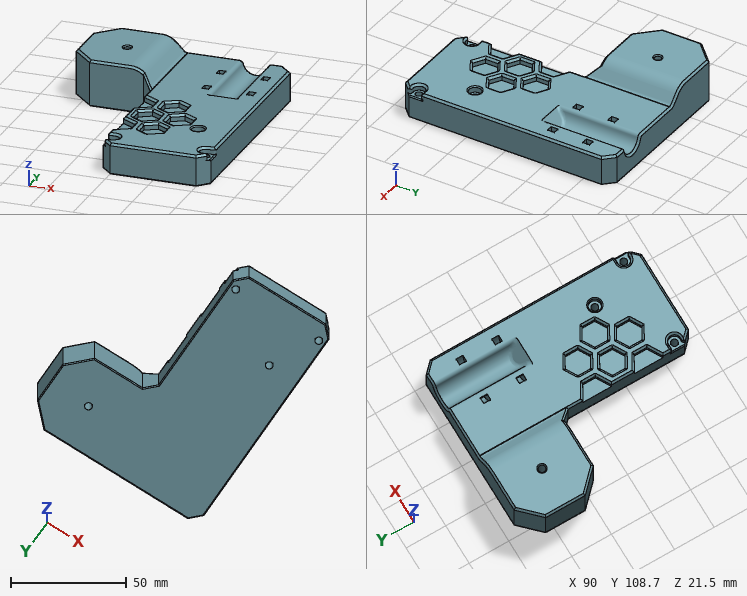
import cadquery as cq
import math

width = 90.0
length = 108.7
arm_height = 21.5
block_height = 14.5
block_left = 40.0
arm_depth = 40.0
arm_front = length - arm_depth
arm_corner = 10.0
block_corner = 5.0

ramp_angle = 45.0
crest_radius = 10.0
foot_radius = 2.0

top_chamfer = 1.0
bottom_chamfer = 0.5
mouth_radius = 1.0
mouth_chamfer = 0.5
hole_chamfer = 0.5

run_out = 2.2

cell_pitch = 15.0
cell_flats = 11.0
cell_depth = 3.0
cell_lean = math.radians(30)
cell_row_step = cell_pitch * math.cos(cell_lean)
comb_x = 49.0
comb_y = 36.0

screw_diameter = 3.4
head_diameter = 6.0
head_depth = 3.0
corner_screw_x = block_left + 3.4
corner_screw_y = block_corner + head_diameter / 2
arm_screw = (20.0, (arm_front + length) / 2)
block_screw = (75.0, 29.5)

trough_x = 72.5
trough_radius = 6.0
trough_end_y = 66.3
trough_round = 2.0
tunnel_inner_radius = 8.8
tunnel_outer_radius = 11.8
tunnel_width = 3.5
tunnel_ys = (74.2, 92.3)


foot_tangent = foot_radius * math.tan(math.radians(ramp_angle / 2))
foot_end_x = block_left + foot_tangent


def ramp_profile():
    """Closed XZ outline of the arm: flat top, rounded crest, ramp and rounded foot."""
    angle = math.radians(ramp_angle)
    half = angle / 2
    crest_end_z = arm_height - crest_radius * (1 - math.cos(angle))
    crest_end_x = block_left - (crest_end_z - block_height) / math.tan(angle)
    crest_start_x = crest_end_x - crest_radius * math.sin(angle)
    crest_mid = (
        crest_start_x + crest_radius * math.sin(half),
        arm_height - crest_radius * (1 - math.cos(half)),
    )
    foot_start = (
        block_left - foot_tangent * math.cos(angle),
        block_height + foot_tangent * math.sin(angle),
    )
    foot_mid = (
        foot_end_x - foot_radius * math.sin(half),
        block_height + foot_radius * (1 - math.cos(half)),
    )
    return (
        cq.Workplane("XZ")
        .lineTo(0, arm_height)
        .lineTo(crest_start_x, arm_height)
        .threePointArc(crest_mid, (crest_end_x, crest_end_z))
        .lineTo(*foot_start)
        .threePointArc(foot_mid, (foot_end_x, block_height))
        .lineTo(foot_end_x, 0)
        .close()
    )


def main_block():
    outline = [
        (block_left, block_corner),
        (block_left + block_corner, 0),
        (width - block_corner, 0),
        (width, block_corner),
        (width, length - block_corner),
        (width - block_corner, length),
        (block_left, length),
    ]
    block = cq.Workplane("XY").polyline(outline).close().extrude(block_height)
    return block.faces(">Z").chamfer(top_chamfer)


def arm():
    """Arm whose front slants back where it meets the block, so that the ramp ends inside the block."""
    outline = [
        (0, arm_front + arm_corner),
        (arm_corner, arm_front),
        (block_left - block_corner, arm_front),
        (foot_end_x, arm_front - block_corner - foot_tangent),
        (foot_end_x, length),
        (arm_corner, length),
        (0, length - arm_corner),
    ]
    prism = cq.Workplane("XY").polyline(outline).close().extrude(arm_height)
    blank = prism.intersect(ramp_profile().extrude(-length))
    upper_rim = blank.faces("#Z and (not >X)").edges("not (|Z or <Z or >X)")
    return upper_rim.chamfer(top_chamfer)


def flared_pocket(outline, depth):
    """Solid that cuts a pocket of the given outline, with a chamfered rim, into the block top."""
    floor = cq.Workplane("XY", origin=(0, 0, block_height - depth))
    rim = cq.Workplane("XY", origin=(0, 0, block_height - top_chamfer))
    shaft = outline(floor).extrude(depth)
    return shaft.union(outline(rim).extrude(top_chamfer, taper=-45))


def closed_cell(x, y):
    corner_radius = cell_flats / 2 / math.cos(cell_lean)
    angles = [cell_lean + side * math.pi / 3 for side in range(6)]
    points = [(x + corner_radius * math.cos(a), y + corner_radius * math.sin(a)) for a in angles]
    return flared_pocket(lambda plane: plane.polyline(points).close(), cell_depth)


def open_cell(x, y):
    """Cell whose two slanting right-hand sides run on until they leave the left wall."""
    slope = math.tan(cell_lean)
    right = x + cell_flats / 2
    left = block_left - run_out
    half_side = cell_flats / 2 * slope
    half_mouth = half_side + (right - left) * slope
    points = [
        (right, y - half_side),
        (right, y + half_side),
        (left, y + half_mouth),
        (left, y - half_mouth),
    ]
    return flared_pocket(lambda plane: plane.polyline(points).close(), cell_depth)


def honeycomb():
    cells = closed_cell(comb_x, comb_y).union(closed_cell(comb_x + cell_pitch, comb_y))
    for row_y in (comb_y - cell_row_step, comb_y + cell_row_step):
        cells = cells.union(closed_cell(comb_x + cell_pitch / 2, row_y))
        cells = cells.union(open_cell(comb_x - cell_pitch / 2, row_y))
    return cells


def slot_outline(plane):
    """Screw-head circle drawn out into a slot through the left wall."""
    radius = head_diameter / 2
    outside = block_left - run_out
    return (
        plane.moveTo(outside, corner_screw_y + radius)
        .lineTo(corner_screw_x, corner_screw_y + radius)
        .threePointArc((corner_screw_x + radius, corner_screw_y), (corner_screw_x, corner_screw_y - radius))
        .lineTo(outside, corner_screw_y - radius)
        .close()
    )


def corner_recess():
    """Left corner screw-head slot, its mouth rounded onto the wall and onto the slanted corner."""
    outside = block_left - run_out
    slot_low_y = corner_screw_y - head_diameter / 2
    slot_high_y = corner_screw_y + head_diameter / 2
    diagonal = math.sqrt(0.5)
    floor_z = block_height - head_depth

    mouth_high_y = slot_high_y + mouth_radius
    high_mid = mouth_radius * (1 - diagonal)

    low_turn = math.radians(135)
    low_tangent = mouth_radius * math.tan(low_turn / 2)
    low_centre_x = block_left + low_tangent
    low_centre_y = slot_low_y - mouth_radius
    low_mid_angle = math.pi / 2 + low_turn / 2
    low_mid = (
        low_centre_x + mouth_radius * math.cos(low_mid_angle),
        low_centre_y + mouth_radius * math.sin(low_mid_angle),
    )
    mouth_low_x = block_left + low_tangent * diagonal
    mouth_low_y = slot_low_y - low_tangent * diagonal

    mouth = (
        cq.Workplane("XY", origin=(0, 0, floor_z))
        .moveTo(block_left, mouth_high_y)
        .threePointArc(
            (block_left + high_mid, slot_high_y + high_mid),
            (block_left + mouth_radius, slot_high_y),
        )
        .lineTo(low_centre_x, slot_low_y)
        .threePointArc(low_mid, (mouth_low_x, mouth_low_y))
        .lineTo(outside, mouth_low_y)
        .lineTo(outside, mouth_high_y)
        .close()
        .extrude(head_depth)
    )
    lip = (
        cq.Workplane("XZ", origin=(0, mouth_high_y, floor_z))
        .moveTo(outside, 0)
        .lineTo(block_left + mouth_chamfer, 0)
        .lineTo(block_left, -mouth_chamfer)
        .lineTo(outside, -mouth_chamfer)
        .close()
        .extrude(mouth_high_y - mouth_low_y)
    )
    return flared_pocket(slot_outline, head_depth).union(mouth).union(lip)


def trough_section():
    """Half-round bottom flowing into rounded-over rims that level out with the block top."""
    rim_centre_x = math.sqrt((trough_radius + trough_round) ** 2 - trough_round**2)
    lean = math.asin(trough_round / (trough_radius + trough_round))
    join_x = trough_radius * math.cos(lean)
    join_z = -trough_radius * math.sin(lean)
    rim_mid_angle = (math.pi - lean + math.pi / 2) / 2
    rim_mid_x = rim_centre_x + trough_round * math.cos(rim_mid_angle)
    rim_mid_z = -trough_round + trough_round * math.sin(rim_mid_angle)
    return (
        cq.Workplane("XZ", origin=(trough_x, 0, block_height))
        .moveTo(-rim_centre_x, 0)
        .threePointArc((-rim_mid_x, rim_mid_z), (-join_x, join_z))
        .threePointArc((0, -trough_radius), (join_x, join_z))
        .threePointArc((rim_mid_x, rim_mid_z), (rim_centre_x, 0))
        .close()
    )


def trough():
    """Groove with a sloping, filleted inner end and a chamfered mouth in the back wall."""
    half_slab = 2 * trough_radius
    slab_side = cq.Workplane("YZ", origin=(trough_x - half_slab, 0, block_height))

    def slab(start_y, slope_run):
        return (
            slab_side.moveTo(start_y, 0)
            .lineTo(start_y + slope_run, -half_slab)
            .lineTo(length, -half_slab)
            .lineTo(length, 0)
            .close()
            .extrude(2 * half_slab)
        )

    groove = trough_section().extrude(-length).intersect(slab(trough_end_y, half_slab))
    groove = groove.faces("<Y").edges("not |X").fillet(trough_round)
    blank = slab(trough_end_y - trough_radius, 0)
    mould = blank.cut(groove)
    mouth = mould.faces(">Y").edges("not (|Z or <Z)")
    return blank.cut(mouth.chamfer(top_chamfer))


def tie_tunnel(y):
    """Ring-shaped passage around the trough axis, surfacing on both sides of the trough."""
    return (
        cq.Workplane("XZ", origin=(trough_x, y + tunnel_width / 2, block_height))
        .circle(tunnel_outer_radius)
        .circle(tunnel_inner_radius)
        .extrude(tunnel_width)
    )


def chamfered_bore(centre, diameter, floor_z, top_z):
    """Round hole from floor_z up to top_z with a chamfered rim."""
    bore = cq.Workplane("XY", origin=(*centre, floor_z)).circle(diameter / 2).extrude(top_z - floor_z)
    rim = (
        cq.Workplane("XY", origin=(*centre, top_z - hole_chamfer))
        .circle(diameter / 2)
        .extrude(hole_chamfer, taper=-45)
    )
    return bore.union(rim)


body = main_block().union(arm())
body = body.faces("<Z").chamfer(bottom_chamfer)

body = body.cut(honeycomb())

block_middle_x = (block_left + width) / 2
left_recess = corner_recess()
right_recess = left_recess.mirror("YZ", (block_middle_x, 0, 0))
body = body.cut(left_recess).cut(right_recess)

body = body.cut(trough())
for tunnel_y in tunnel_ys:
    body = body.cut(tie_tunnel(tunnel_y))

body = body.cut(chamfered_bore(arm_screw, screw_diameter, 0, arm_height))
body = body.cut(chamfered_bore(block_screw, head_diameter, block_height - head_depth, block_height))
through_screws = [
    block_screw,
    (corner_screw_x, corner_screw_y),
    (2 * block_middle_x - corner_screw_x, corner_screw_y),
]
through_holes = (
    cq.Workplane("XY").pushPoints(through_screws).circle(screw_diameter / 2).extrude(block_height)
)
result = body.cut(through_holes)